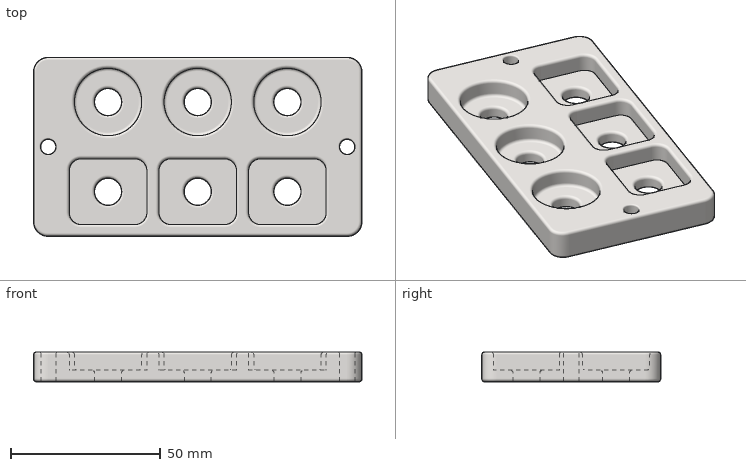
import cadquery as cq

LENGTH = 110.0
WIDTH = 60.0
THICKNESS = 10.0
CORNER_RADIUS = 5.0
EDGE_FILLET = 1.0

SEAT_PITCH = 30.0
COLUMNS_X = (-SEAT_PITCH, 0, SEAT_PITCH)
ROUND_ROW_Y = SEAT_PITCH / 2
RECT_ROW_Y = -ROUND_ROW_Y
POCKET_DEPTH = 6.0
FLOOR_Z = THICKNESS - POCKET_DEPTH

ROUND_POCKET_DIAMETER = 22.5
RECT_POCKET_LENGTH = 26.0
RECT_POCKET_WIDTH = 22.0
RECT_POCKET_CORNER = 4.0
SEAT_HOLE_DIAMETER = 9.0

MOUNT_HOLE_DIAMETER = 5.1
MOUNT_HOLE_FILLET = 0.5
MOUNT_HOLE_X = LENGTH / 2 - CORNER_RADIUS

ROUND_SEATS = [(x, ROUND_ROW_Y) for x in COLUMNS_X]
RECT_SEATS = [(x, RECT_ROW_Y) for x in COLUMNS_X]
MOUNT_HOLES = [(-MOUNT_HOLE_X, 0), (MOUNT_HOLE_X, 0)]


def plate():
    """Rectangular plate with rounded corners and rounded top and bottom edges."""
    body = cq.Workplane("XY").box(LENGTH, WIDTH, THICKNESS, centered=(True, True, False))
    body = body.edges("|Z").fillet(CORNER_RADIUS)
    return body.faces("<Z or >Z").edges().fillet(EDGE_FILLET)


def cylinders(centres, diameter, bottom_z, top_z):
    """Vertical cylinders between two heights."""
    base = cq.Workplane("XY").workplane(offset=bottom_z).pushPoints(centres)
    return base.circle(diameter / 2).extrude(top_z - bottom_z)


def round_pockets():
    """Cutters for the round pockets, whose floor meets the wall in a fillet."""
    cutters = cylinders(ROUND_SEATS, ROUND_POCKET_DIAMETER, FLOOR_Z, THICKNESS)
    return cutters.faces("<Z").edges().fillet(EDGE_FILLET)


def rect_pockets():
    """Cutters for the rectangular pockets, flat floored with rounded corners."""
    base = cq.Workplane("XY").workplane(offset=FLOOR_Z).pushPoints(RECT_SEATS)
    cutters = base.rect(RECT_POCKET_LENGTH, RECT_POCKET_WIDTH).extrude(POCKET_DEPTH)
    return cutters.edges("|Z").fillet(RECT_POCKET_CORNER)


def fillet_rims(body, centres, size_x, size_y, rim_z, radius):
    """Round the rims, at height rim_z, of openings of the given size."""
    slack = 0.1
    for x, y in centres:
        low = (x - size_x / 2 - slack, y - size_y / 2 - slack, rim_z - slack)
        high = (x + size_x / 2 + slack, y + size_y / 2 + slack, rim_z + slack)
        rim = cq.selectors.BoxSelector(low, high, boundingbox=True)
        body = body.edges(rim).fillet(radius)
    return body


def drill(body, centres, diameter, rim_z, rim_fillet):
    """Drill through holes and round their rims at height rim_z."""
    body = body.cut(cylinders(centres, diameter, 0, THICKNESS))
    return fillet_rims(body, centres, diameter, diameter, rim_z, rim_fillet)


def add_round_pockets(body):
    """Sink the round pockets and round their top rims."""
    body = body.cut(round_pockets())
    size = ROUND_POCKET_DIAMETER
    return fillet_rims(body, ROUND_SEATS, size, size, THICKNESS, EDGE_FILLET)


def add_rect_pockets(body):
    """Sink the rectangular pockets and round their top rims."""
    body = body.cut(rect_pockets())
    return fillet_rims(body, RECT_SEATS, RECT_POCKET_LENGTH, RECT_POCKET_WIDTH, THICKNESS, EDGE_FILLET)


result = add_rect_pockets(add_round_pockets(plate()))
result = drill(result, ROUND_SEATS + RECT_SEATS, SEAT_HOLE_DIAMETER, FLOOR_Z, EDGE_FILLET)
result = drill(result, MOUNT_HOLES, MOUNT_HOLE_DIAMETER, THICKNESS, MOUNT_HOLE_FILLET)